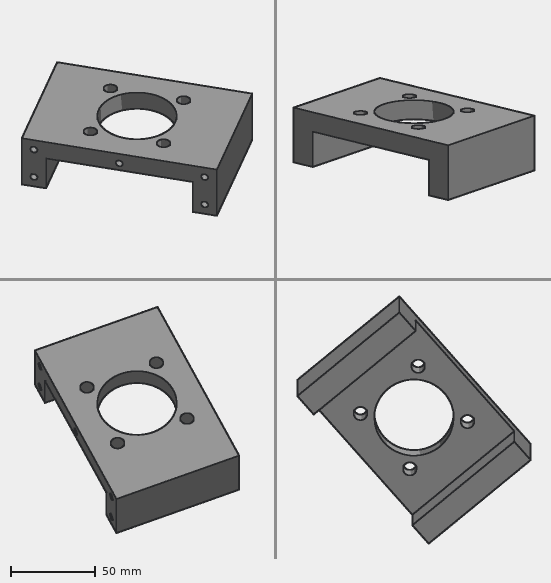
import cadquery as cq

length = 120.0
depth = 79.5
height = 34.0

plate_thickness = 12.0
leg_width = 15.0

bore_diameter = 47.0
mount_hole_diameter = 8.0
mount_hole_spacing = 45.0

screw_hole_diameter = 4.2
screw_hole_depth = 12.0
screw_edge_distance = 7.0

leg_center_x = (length - leg_width) / 2
upper_screw_z = height - screw_edge_distance
lower_screw_z = screw_edge_distance
screw_positions = [(0, upper_screw_z)]
for x in (-leg_center_x, leg_center_x):
    screw_positions += [(x, upper_screw_z), (x, lower_screw_z)]


def bridge_body():
    """Block resting on Z = 0 with a channel along Y between the legs."""
    on_base = (True, True, False)
    block = cq.Workplane("XY").box(length, depth, height, centered=on_base)
    channel = cq.Workplane("XY").box(
        length - 2 * leg_width, depth, height - plate_thickness, centered=on_base
    )
    return block.cut(channel)


def plate_holes():
    """Vertical cutters for the bore and the four mounting holes."""
    bore = cq.Workplane("XY").circle(bore_diameter / 2).extrude(height)
    mounts = (
        cq.Workplane("XY")
        .rect(mount_hole_spacing, mount_hole_spacing, forConstruction=True)
        .vertices()
        .circle(mount_hole_diameter / 2)
        .extrude(height)
    )
    return bore.union(mounts)


def screw_holes():
    """Cutters running inward (+Y) from the front face."""
    return (
        cq.Workplane("XZ", origin=(0, -depth / 2, 0))
        .pushPoints(screw_positions)
        .circle(screw_hole_diameter / 2)
        .extrude(-screw_hole_depth)
    )


result = bridge_body().cut(plate_holes()).cut(screw_holes())